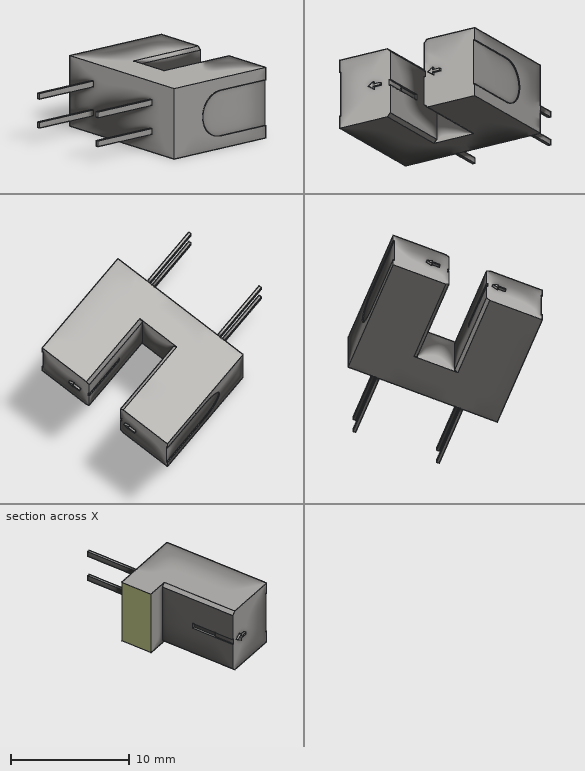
import cadquery as cq

BODY_WIDTH = 13.6
BODY_DEPTH = 10.2
BODY_HEIGHT = 6.2

GAP_WIDTH = 3.4
GAP_FLOOR_THICKNESS = 3.0
GAP_LENGTH = BODY_DEPTH - GAP_FLOOR_THICKNESS
GAP_CHAMFER_WIDTH = 0.3
GAP_CHAMFER_HEIGHT = 0.3

SLIT_HEIGHT = 0.5
SLIT_MOUTH_LENGTH = 1.9
SLIT_MOUTH_DEPTH = 0.12
SLIT_SEAT_LENGTH = 2.2
SLIT_SEAT_DEPTH = 0.2

RECESS_HEIGHT = 4.0
RECESS_LENGTH = 7.0
RECESS_DEPTH = 0.1

ARROW_LENGTH = 1.2
ARROW_HEAD_LENGTH = 0.5
ARROW_HEAD_HEIGHT = 0.66
ARROW_SHAFT_HEIGHT = 0.2
ARROW_RISE = 0.2
ARROW_CENTERS_X = (-2.8, 3.2)

LEAD_WIDTH = 0.25
LEAD_HEIGHT = 0.5
LEAD_LENGTH = 6.0
LEAD_PITCH_X = 7.62
LEAD_PITCH_Z = 2.54

BOTH_SIDES = (-1, 1)


def block(x_size, y_size, z_size, x_center, y_start, z_center):
    """Box centered in X and Z that grows along +Y from y_start."""
    center = (x_center, y_start + y_size / 2, z_center)
    return cq.Workplane("XY").box(x_size, y_size, z_size).translate(center)


def make_gap():
    """Gap cutter with a profile that flares at the top and bottom faces."""
    half_width = GAP_WIDTH / 2
    half_flare = half_width + GAP_CHAMFER_WIDTH
    top = BODY_HEIGHT / 2
    chamfer_start = top - GAP_CHAMFER_HEIGHT
    return (
        cq.Workplane("XZ", origin=(0, BODY_DEPTH, 0))
        .moveTo(-half_flare, top)
        .lineTo(half_flare, top)
        .lineTo(half_width, chamfer_start)
        .lineTo(half_width, -chamfer_start)
        .lineTo(half_flare, -top)
        .lineTo(-half_flare, -top)
        .lineTo(-half_width, -chamfer_start)
        .lineTo(-half_width, chamfer_start)
        .close()
        .extrude(GAP_LENGTH)
    )


def make_slit(side):
    """Stepped slit in the inner face of one arm, open at the arm end."""
    wall_x = side * GAP_WIDTH / 2
    mouth_start = BODY_DEPTH - SLIT_MOUTH_LENGTH
    seat_start = mouth_start - SLIT_SEAT_LENGTH
    mouth_x = wall_x + side * SLIT_MOUTH_DEPTH / 2
    seat_x = wall_x + side * SLIT_SEAT_DEPTH / 2
    mouth = block(SLIT_MOUTH_DEPTH, SLIT_MOUTH_LENGTH, SLIT_HEIGHT, mouth_x, mouth_start, 0)
    seat = block(SLIT_SEAT_DEPTH, SLIT_SEAT_LENGTH, SLIT_HEIGHT, seat_x, seat_start, 0)
    return mouth.union(seat)


def make_recess(side):
    """Shallow recess in the outer face of one arm, rounded at its inner end."""
    radius = RECESS_HEIGHT / 2
    arc_tip = BODY_DEPTH - RECESS_LENGTH
    arc_center = arc_tip + radius
    return (
        cq.Workplane("YZ", origin=(side * BODY_WIDTH / 2, 0, 0))
        .moveTo(BODY_DEPTH, radius)
        .lineTo(arc_center, radius)
        .threePointArc((arc_tip, 0), (arc_center, -radius))
        .lineTo(BODY_DEPTH, -radius)
        .close()
        .extrude(-side * RECESS_DEPTH)
    )


def make_body():
    """Fork-shaped housing with its gap, slits and recesses."""
    body = block(BODY_WIDTH, BODY_DEPTH, BODY_HEIGHT, 0, 0, 0).cut(make_gap())
    for side in BOTH_SIDES:
        body = body.cut(make_slit(side)).cut(make_recess(side))
    return body


def make_arrow(x_center):
    """Flat arrow pointing toward +X, standing on the arm end."""
    tail_x = x_center - ARROW_LENGTH / 2
    tip_x = x_center + ARROW_LENGTH / 2
    head_x = tip_x - ARROW_HEAD_LENGTH
    half_head = ARROW_HEAD_HEIGHT / 2
    half_shaft = ARROW_SHAFT_HEIGHT / 2
    return (
        cq.Workplane("XZ", origin=(0, BODY_DEPTH, 0))
        .moveTo(tail_x, half_shaft)
        .lineTo(head_x, half_shaft)
        .lineTo(head_x, half_head)
        .lineTo(tip_x, 0)
        .lineTo(head_x, -half_head)
        .lineTo(head_x, -half_shaft)
        .lineTo(tail_x, -half_shaft)
        .close()
        .extrude(-ARROW_RISE)
    )


def add_arrows(body):
    """One raised arrow on the end of each arm."""
    for x_center in ARROW_CENTERS_X:
        body = body.union(make_arrow(x_center))
    return body


def add_leads(body):
    """Four rectangular leads standing on the -Y face."""
    for x_side in BOTH_SIDES:
        for z_side in BOTH_SIDES:
            x_center = x_side * LEAD_PITCH_X / 2
            z_center = z_side * LEAD_PITCH_Z / 2
            lead = block(LEAD_WIDTH, LEAD_LENGTH, LEAD_HEIGHT, x_center, -LEAD_LENGTH, z_center)
            body = body.union(lead)
    return body


result = add_leads(add_arrows(make_body()))